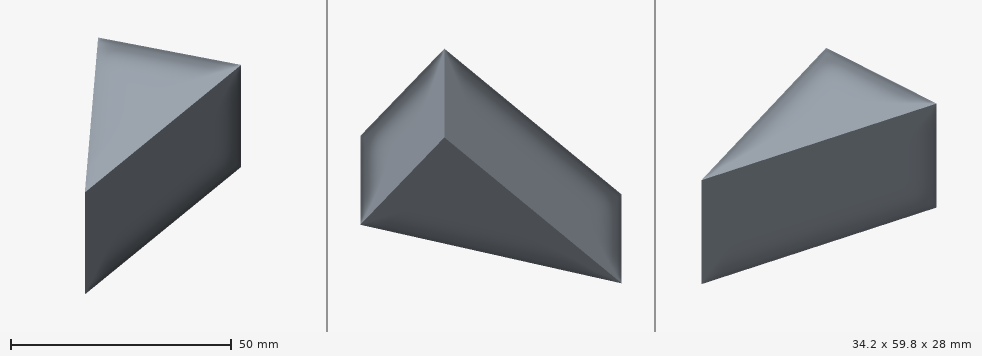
import cadquery as cq

base_width = 34.2
length = 59.8
height = 28.0

tip = (0, -length / 2)
base_right = (base_width / 2, length / 2)
base_left = (-base_width / 2, length / 2)

result = cq.Workplane("XY").polyline([tip, base_right, base_left]).close().extrude(height)